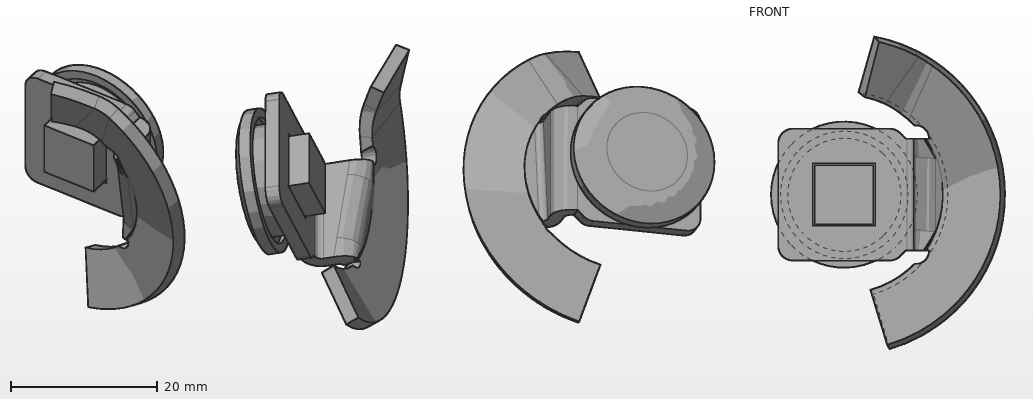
import cadquery as cq
import math

SHEET = 1.95
BEND_INNER = 1.0
BEND_OUTER = BEND_INNER + SHEET

BUTTON_RADIUS = 10.0
BUTTON_UNDERSIDE_Y = 1.88
BUTTON_RIM_Y = 3.5
BUTTON_TOP_Y = 4.85
BUTTON_FLAT_RADIUS = 5.7
BUTTON_DOME_RADIUS = 7.7
SHAFT_RADIUS = 7.73
GROOVE_RADIUS = 8.7
GROOVE_DEPTH = 0.7
GROOVE_FLOOR_Y = BUTTON_UNDERSIDE_Y + GROOVE_DEPTH
LUG_WIDTH = 8.03
LUG_END_Y = -4.8

PLATE_WIDTH = 18.0
CORNER_RADIUS = 2.0
SHOULDER_START_X = 6.25
SHOULDER_ANGLE = math.radians(45)
LUG_HOLE_WIDTH = 8.55

ARM_WIDTH = 15.3
ARM_INNER_X = 9.5
ARM_OUTER_X = ARM_INNER_X + SHEET
ARM_BEND_START_X = ARM_INNER_X - BEND_INNER
ARM_TILT = 8.5
LOWER_BEND_Y = -5.55
BLEND_OVERRUN = 0.65

WING_OUTER_RADIUS = 22.0
WING_INNER_RADIUS = 14.15
BLEND_RADIUS = 13.45
WING_RIM_Y = -9.48
CONE_SLOPE = 0.36
HELIX_DROP = 1.85
WING_START = -73.6
FAR_Y = -42.7
OUTER_EDGE = {"radius": WING_OUTER_RADIUS, "stops": (WING_START, 56.0, 64.0, 79.2), "tip_drop": 10.15}
INNER_EDGE = {"radius": WING_INNER_RADIUS, "stops": (WING_START, 50.5, 69.8, 82.0), "tip_drop": 8.55}
EDGE_POINTS = 9

SLOT_WIDTH = 1.8
SLOT_END_X = 11.55
SLOT_CORNER_RADIUS = 1.7


def box(x_min, x_max, y_min, y_max, z_min, z_max):
    size = (x_max - x_min, y_max - y_min, z_max - z_min)
    return cq.Workplane("XY").box(*size, centered=False).translate((x_min, y_min, z_min))


def square_bar(width, y_min, y_max):
    half = width / 2
    return box(-half, half, y_min, y_max, -half, half)


def make_knob():
    """Domed button, round shaft and square lug."""
    turned = (
        cq.Workplane("XY")
        .lineTo(-SHAFT_RADIUS, 0)
        .lineTo(-SHAFT_RADIUS, GROOVE_FLOOR_Y)
        .lineTo(-GROOVE_RADIUS, GROOVE_FLOOR_Y)
        .lineTo(-GROOVE_RADIUS, BUTTON_UNDERSIDE_Y)
        .lineTo(-BUTTON_RADIUS, BUTTON_UNDERSIDE_Y)
        .lineTo(-BUTTON_RADIUS, BUTTON_RIM_Y)
        .radiusArc((-BUTTON_FLAT_RADIUS, BUTTON_TOP_Y), BUTTON_DOME_RADIUS)
        .lineTo(0, BUTTON_TOP_Y)
        .close()
        .revolve(360, (0, 0, 0), (0, 1, 0))
    )
    return turned.union(square_bar(LUG_WIDTH, LUG_END_Y, 0))


def make_plate():
    """Rounded plate that narrows to the arm's width, with a square hole for the lug."""
    half = PLATE_WIDTH / 2
    half_arm = ARM_WIDTH / 2
    corner_run = CORNER_RADIUS * math.sin(SHOULDER_ANGLE)
    corner_drop = CORNER_RADIUS * (1 - math.cos(SHOULDER_ANGLE))
    shoulder_x = SHOULDER_START_X + corner_run
    shoulder_z = half - corner_drop
    shoulder_end_x = shoulder_x + (shoulder_z - half_arm) / math.tan(SHOULDER_ANGLE)
    upper_half = (
        cq.Workplane("XZ")
        .moveTo(-half, 0)
        .lineTo(-half, half - CORNER_RADIUS)
        .radiusArc((-half + CORNER_RADIUS, half), CORNER_RADIUS)
        .lineTo(SHOULDER_START_X, half)
        .radiusArc((shoulder_x, shoulder_z), CORNER_RADIUS)
        .lineTo(shoulder_end_x, half_arm)
        .lineTo(ARM_BEND_START_X, half_arm)
        .lineTo(ARM_BEND_START_X, 0)
        .close()
        .extrude(SHEET)
    )
    plate = upper_half.union(upper_half.mirror("XY"))
    return plate.cut(square_bar(LUG_HOLE_WIDTH, -SHEET, 0))


def blend_section(foot_x, z):
    """Quarter ellipse from the arm's inner side to the wing at foot_x, closed by straight sides."""
    foot_y = LOWER_BEND_Y - BEND_OUTER
    centre = cq.Vector(foot_x, LOWER_BEND_Y, z)
    corner = cq.Vector(foot_x, LOWER_BEND_Y - SHEET, z)
    arm_point = cq.Vector(ARM_INNER_X, LOWER_BEND_Y, z)
    foot = cq.Vector(foot_x, foot_y, z)
    outside = cq.Edge.makeEllipse(
        foot_x - ARM_INNER_X, BEND_OUTER, centre, cq.Vector(0, 0, 1), cq.Vector(1, 0, 0), 180, 270
    )
    sides = [cq.Edge.makeLine(foot, corner), cq.Edge.makeLine(corner, arm_point)]
    return cq.Wire.assembleEdges([outside, *sides])


def make_blend(side):
    """Tightening of the lower bend towards one side of the arm, where the wing's inner circle cuts in."""
    start_x = ARM_INNER_X + BEND_OUTER
    start_z = math.sqrt(BLEND_RADIUS**2 - start_x**2)
    end_z = ARM_WIDTH / 2 + BLEND_OVERRUN
    end_x = math.sqrt(BLEND_RADIUS**2 - end_z**2)
    sections = [blend_section(start_x, side * start_z), blend_section(end_x, side * end_z)]
    return cq.Workplane(cq.Solid.makeLoft(sections, True))


def make_arm():
    """Arm that bends down from the plate and bends out again, along a leaning line, to the wing."""
    half_arm = ARM_WIDTH / 2
    split_y = -BEND_OUTER
    upper_bend = (
        cq.Workplane("XY", origin=(0, 0, -half_arm))
        .moveTo(ARM_BEND_START_X, 0)
        .radiusArc((ARM_OUTER_X, split_y), BEND_OUTER)
        .lineTo(ARM_INNER_X, split_y)
        .radiusArc((ARM_BEND_START_X, -SHEET), -BEND_INNER)
        .close()
        .extrude(ARM_WIDTH)
    )
    pivot_y = LOWER_BEND_Y - BEND_OUTER
    flap_x = ARM_INNER_X + BEND_OUTER
    lower_bend = (
        cq.Workplane("XY")
        .moveTo(ARM_INNER_X, 0)
        .lineTo(ARM_OUTER_X, 0)
        .lineTo(ARM_OUTER_X, LOWER_BEND_Y)
        .radiusArc((flap_x, LOWER_BEND_Y - BEND_INNER), -BEND_INNER)
        .lineTo(WING_INNER_RADIUS, LOWER_BEND_Y - BEND_INNER)
        .lineTo(WING_INNER_RADIUS, LOWER_BEND_Y - BEND_OUTER)
        .lineTo(flap_x, LOWER_BEND_Y - BEND_OUTER)
        .radiusArc((ARM_INNER_X, LOWER_BEND_Y), BEND_OUTER)
        .close()
        .extrude(ARM_WIDTH, both=True)
        .union(make_blend(1))
        .union(make_blend(-1))
        .rotate((0, pivot_y, 0), (1, pivot_y, 0), ARM_TILT)
    )
    room = box(0, WING_INNER_RADIUS, FAR_Y, split_y, -half_arm, half_arm)
    inside_wing = (
        cq.Workplane("XZ", origin=(0, split_y, 0))
        .circle(WING_INNER_RADIUS)
        .extrude(split_y - FAR_Y)
    )
    return upper_bend.union(lower_bend.intersect(room).intersect(inside_wing))


def wing_point(edge, degrees, depth):
    """Point on an edge of the wing, `depth` into the sheet from its back face."""
    radius = edge["radius"]
    angle = math.radians(degrees)
    bend_start, bend_end = [math.radians(stop) for stop in edge["stops"][1:3]]
    bend_length = bend_end - bend_start
    into_bend = min(max(angle - bend_start, 0), bend_length)
    past_bend = max(angle - bend_end, 0)
    extra_slope = (edge["tip_drop"] - HELIX_DROP) * into_bend / bend_length
    y = WING_RIM_Y + CONE_SLOPE * (WING_OUTER_RADIUS - radius) - HELIX_DROP * angle
    y -= extra_slope * (into_bend / 2 + past_bend)
    tangent_slope = (HELIX_DROP + extra_slope) / radius
    into_sheet = cq.Vector(-CONE_SLOPE, -1, -tangent_slope).normalized() * depth
    radial = radius + into_sheet.x
    x = radial * math.cos(angle) - into_sheet.z * math.sin(angle)
    z = radial * math.sin(angle) + into_sheet.z * math.cos(angle)
    return cq.Vector(x, y + into_sheet.y, z)


def wing_curve(edge, stretch, depth):
    """Edge curve from one stop of the wing to the next."""
    start, end = edge["stops"][stretch : stretch + 2]
    step = (end - start) / (EDGE_POINTS - 1)
    return cq.Edge.makeSpline([wing_point(edge, start + i * step, depth) for i in range(EDGE_POINTS)])


def wing_end_line(stop, depth):
    """Straight line across the wing's end, from the outer edge to the inner one."""
    outer, inner = [wing_point(edge, edge["stops"][stop], depth) for edge in (OUTER_EDGE, INNER_EDGE)]
    return cq.Edge.makeLine(outer, inner)


def make_wing():
    """Helical coned strip whose upper tip is bent away from the plate."""
    corners = [(OUTER_EDGE, 0), (OUTER_EDGE, SHEET), (INNER_EDGE, SHEET), (INNER_EDGE, 0)]
    faces = []
    for stretch in range(len(OUTER_EDGE["stops"]) - 1):
        curves = [wing_curve(edge, stretch, depth) for edge, depth in corners]
        for i in range(len(curves)):
            faces.append(cq.Face.makeRuledSurface(curves[i - 1], curves[i]))
    for stop in (0, -1):
        faces.append(cq.Face.makeRuledSurface(wing_end_line(stop, 0), wing_end_line(stop, SHEET)))
    wing = cq.Workplane(cq.Solid.makeSolid(cq.Shell.makeShell(faces)))
    for slot in make_slots():
        wing = wing.cut(slot)
    return wing


def make_slots():
    """Relief slots that part the wing from both sides of the arm."""
    near = ARM_WIDTH / 2
    upper = (
        box(0, SLOT_END_X, FAR_Y, 0, near, near + SLOT_WIDTH)
        .edges("|Y and >X and >Z")
        .fillet(SLOT_CORNER_RADIUS)
    )
    return upper, upper.mirror("XY")


def make_bracket():
    return make_plate().union(make_arm()).union(make_wing())


knob = make_knob()
bracket = make_bracket()
result = cq.Compound.makeCompound([knob.solids().val(), bracket.solids().val()])